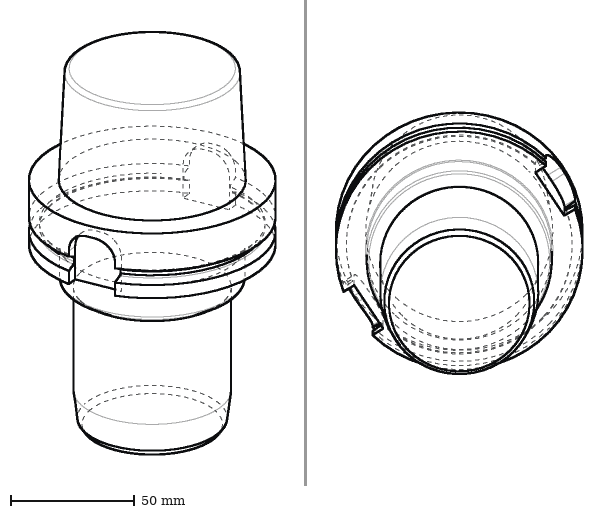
import cadquery as cq
import math

total_length = 160.0

shank_length = 50.0
shank_base_radius = 38.0
shank_top_radius = 35.5
shank_edge_fillet = 2.0

flange_radius = 100.0 / 2
flange_thickness = 29.1
groove_center_depth = 20.0
groove_mouth_width = 6.4
groove_floor_width = 3.0
groove_floor_radius = 45.8
groove_root_fillet = 1.0

slot_width = 21.6
slot_top_depth = 5.0
slot_corner_radius = 9.3
slot_floor_offset = 43.7

collar_radius = 75.0 / 2
collar_end_depth = 47.8
collar_cone_angle = 30.0
collar_rim_fillet = 1.8
root_fillet = 0.5

nose_radius = 64.0 / 2
nose_taper_start_depth = 94.5
nose_tip_radius = 30.4
nose_edge_height = 2.7
nose_end_radius = 28.5


def frustum(bottom_z, bottom_radius, top_z, top_radius):
    """Solid cone section or cylinder on the Z axis."""
    profile = [(0, bottom_z), (bottom_radius, bottom_z), (top_radius, top_z), (0, top_z)]
    return cq.Workplane("XZ").polyline(profile).close().revolve(360, (0, 0), (0, 1))


def circle_at(z):
    """Selector for the circular edge centered on the axis at height z."""
    return cq.selectors.NearestToPointSelector((0, 0, z))


def make_shank():
    shank = frustum(0, shank_base_radius, shank_length, shank_top_radius)
    return shank.faces(">Z").edges().fillet(shank_edge_fillet)


def make_flange():
    mouth_half = groove_mouth_width / 2
    floor_half = groove_floor_width / 2
    profile = [
        (0, 0),
        (flange_radius, 0),
        (flange_radius, -groove_center_depth + mouth_half),
        (groove_floor_radius, -groove_center_depth + floor_half),
        (groove_floor_radius, -groove_center_depth - floor_half),
        (flange_radius, -groove_center_depth - mouth_half),
        (flange_radius, -flange_thickness),
        (0, -flange_thickness),
    ]
    flange = cq.Workplane("XZ").polyline(profile).close().revolve(360, (0, 0), (0, 1))
    for floor_z in (-groove_center_depth - floor_half, -groove_center_depth + floor_half):
        flange = flange.edges(circle_at(floor_z)).fillet(groove_root_fillet)
    for side in (-1, 1):
        flange = flange.cut(make_slot_cutter(side))
    return flange


def make_slot_cutter(side):
    """Flat-floored slot with rounded upper corners on the -Y or +Y side."""
    height = flange_thickness - slot_top_depth
    depth = flange_radius - slot_floor_offset
    cutter = cq.Workplane("XY").box(slot_width, depth, height)
    cutter = cutter.edges("|Y and >Z").fillet(slot_corner_radius)
    center_y = side * (slot_floor_offset + depth / 2)
    return cutter.translate((0, center_y, -slot_top_depth - height / 2))


def make_collar():
    cone_height = (collar_radius - nose_radius) * math.tan(math.radians(collar_cone_angle))
    rim_z = -collar_end_depth + cone_height
    profile = [
        (0, -flange_thickness),
        (collar_radius, -flange_thickness),
        (collar_radius, rim_z),
        (nose_radius, -collar_end_depth),
        (0, -collar_end_depth),
    ]
    collar = cq.Workplane("XZ").polyline(profile).close().revolve(360, (0, 0), (0, 1))
    return collar.edges(circle_at(rim_z)).fillet(collar_rim_fillet)


def make_nose():
    end_z = shank_length - total_length
    edge_z = end_z + nose_edge_height
    cylinder = frustum(-nose_taper_start_depth, nose_radius, -collar_end_depth, nose_radius)
    taper = frustum(edge_z, nose_tip_radius, -nose_taper_start_depth, nose_radius)
    end_chamfer = frustum(end_z, nose_end_radius, edge_z, nose_tip_radius)
    return cylinder.union(taper).union(end_chamfer)


result = make_shank().union(make_flange()).union(make_collar()).union(make_nose())

for root_depth in (flange_thickness, collar_end_depth):
    result = result.edges("%CIRCLE").edges(circle_at(-root_depth)).fillet(root_fillet)